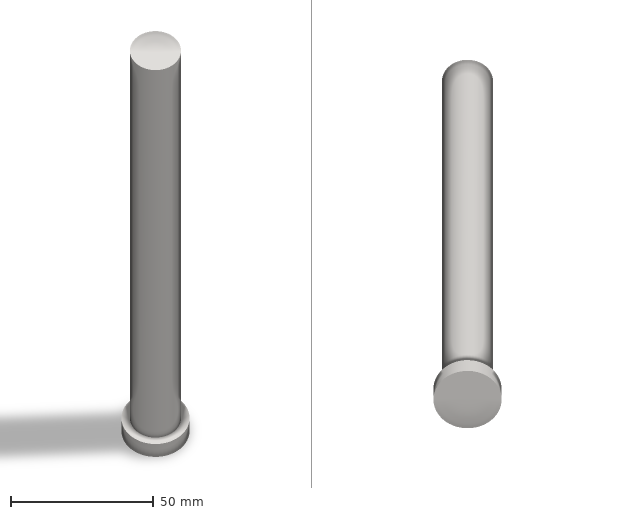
import cadquery as cq

head_diameter = 24.0
head_height = 7.0
shaft_diameter = 18.0
total_length = 207.0

shaft_length = total_length - head_height


def make_head():
    """Disc-shaped head with its underside at Z = 0."""
    return cq.Workplane("XY").circle(head_diameter / 2).extrude(head_height)


def make_shaft():
    """Plain round shaft rising from the top of the head."""
    return (
        cq.Workplane("XY")
        .workplane(offset=head_height)
        .circle(shaft_diameter / 2)
        .extrude(shaft_length)
    )


result = make_head().union(make_shaft())